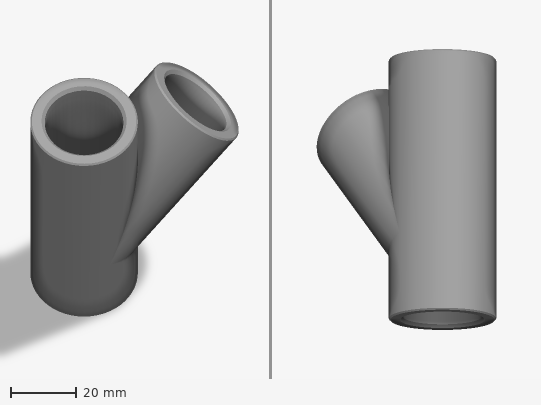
import cadquery as cq

outer_diameter = 33.0
bore_diameter = 24.1
run_length = 81.5
branch_length = 56.15
branch_angle = 45.0
crossing_height = 25.4
outer_chamfer = 0.5
bore_chamfer = 1.0
seam_fillet = 2.0


def cylinder(diameter, length):
    return cq.Workplane("XY").circle(diameter / 2).extrude(length)


def bore_with_chamfered_mouth(length):
    """Bore along +Z that widens at 45 degrees into its upper mouth."""
    bore = cylinder(bore_diameter, length)
    mouth_cone = (
        cq.Workplane("XY")
        .workplane(offset=length - bore_chamfer)
        .circle(bore_diameter / 2)
        .workplane(offset=bore_chamfer)
        .circle(bore_diameter / 2 + bore_chamfer)
        .loft()
    )
    return bore.union(mouth_cone)


def place_on_branch(shape):
    """Tilt a +Z shape onto the branch axis, starting at the axis crossing."""
    tilted = shape.rotate((0, 0, 0), (1, 0, 0), -branch_angle)
    return tilted.translate((0, 0, crossing_height))


run_body = cylinder(outer_diameter, run_length).faces("<Z or >Z").chamfer(outer_chamfer)
branch_body = cylinder(outer_diameter, branch_length).faces(">Z").chamfer(outer_chamfer)

outer_body = run_body.union(place_on_branch(branch_body))
lower_seam = cq.selectors.BoxSelector(
    (-outer_diameter, 0, 2 * outer_chamfer),
    (outer_diameter, outer_diameter, crossing_height),
)
lower_seam_edges = outer_body.edges(lower_seam).edges("%ELLIPSE")
outer_body = lower_seam_edges.fillet(seam_fillet)

upper_bore = bore_with_chamfered_mouth(run_length)
lower_bore = upper_bore.mirror("XY").translate((0, 0, run_length))
branch_bore = bore_with_chamfered_mouth(branch_length)

result = (
    outer_body
    .cut(upper_bore)
    .cut(lower_bore)
    .cut(place_on_branch(branch_bore))
)